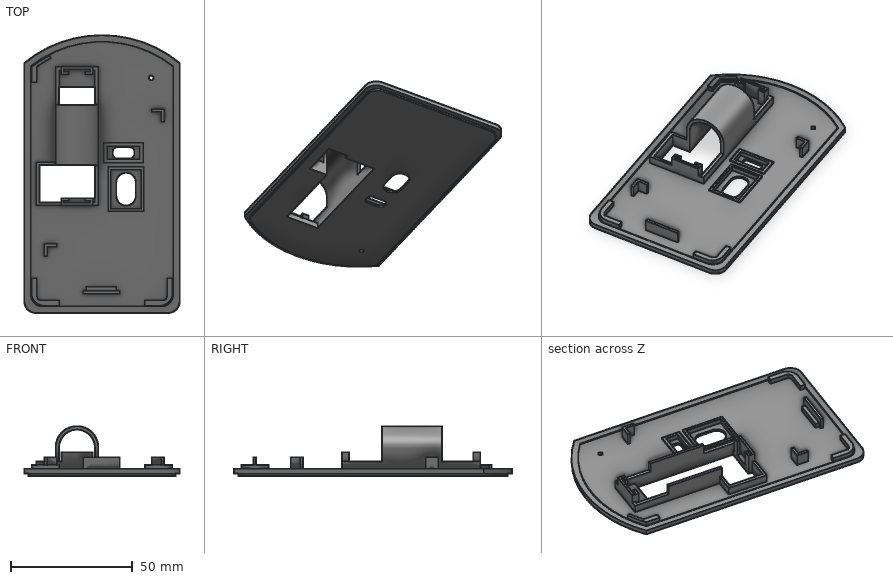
import cadquery as cq
import math

width = 63.9
length = 114.1
shoulder_y = 102.6
corner_radius = 5.0

lip_height = 1.0
rim_top = 3.1
floor_level = 2.6
pocket_level = 1.0
foot_top = 4.7
frame_top = 6.0
upright_top = 7.8
clip_top = 9.8
arch_top = 20.5

lip_inset = 1.7
lip_shoulder_radius = 2.3
recess_inset = 2.7
foot_inset = 3.1

arch_rise = length - shoulder_y
end_radius = ((width / 2) ** 2 + arch_rise**2) / (2 * arch_rise)
end_center_y = length - end_radius


def end_arc_point(x, inset):
    """Point at x on the arched end moved inwards by inset."""
    radius = end_radius - inset
    return (x, end_center_y + math.sqrt(radius**2 - x**2))


def block(x0, x1, y0, y1, z0, z1):
    """Axis-aligned block between two opposite corners."""
    return cq.Workplane("XY").box(x1 - x0, y1 - y0, z1 - z0, centered=False).translate((x0, y0, z0))


def plate_outline(inset, z0, z1, radius=corner_radius):
    """Plate-shaped slab whose outline is moved inwards by inset, with rounded lower corners."""
    half = width / 2 - inset
    return (
        cq.Workplane("XY", origin=(0, 0, z0))
        .moveTo(-half, inset)
        .lineTo(half, inset)
        .lineTo(*end_arc_point(half, inset))
        .threePointArc((0, length - inset), end_arc_point(-half, inset))
        .close()
        .extrude(z1 - z0)
        .edges("|Z")
        .edges("<Y")
        .fillet(radius)
    )


plate = plate_outline(lip_inset, 0, lip_height)
plate = plate.edges("|Z").edges(">Y").fillet(lip_shoulder_radius)
plate = plate.union(plate_outline(0, lip_height, rim_top))
plate = plate.cut(plate_outline(recess_inset, floor_level, rim_top))

wall = 1.5
thin_wall = 1.1
arch_radius = 8.8
arch_x = -10.3
arch_y0 = 60.7
arch_y1 = 85.5
frame_x0 = arch_x - arch_radius
frame_x1 = arch_x + arch_radius
frame_y0 = 44.3
frame_y1 = 101.1
bay_x0 = -27.0
bay_y1 = arch_y0 + thin_wall
opening_y1 = 92.8

clip_x0 = -16.7
clip_x1 = -3.9
clip_depth = 3.0
clip_wall = 1.0
clip_mouth = 6.8
ledge_y1 = frame_y0 + clip_depth


def frame_interior(z0, z1):
    """Space enclosed by the frame walls: a narrow bay and a wider lower bay."""
    narrow = block(frame_x0 + wall, frame_x1 - wall, frame_y0 + thin_wall, frame_y1 - wall, z0, z1)
    return narrow.union(block(bay_x0 + wall, frame_x1 - wall, frame_y0 + thin_wall, arch_y0, z0, z1))


def arch_prism(radius):
    """Solid round-topped prism along the bridge, rising from the floor."""
    spring_z = arch_top - arch_radius
    base = block(arch_x - radius, arch_x + radius, arch_y0, arch_y1, floor_level, spring_z)
    crown = (
        cq.Workplane("XZ", origin=(arch_x, arch_y1, spring_z))
        .circle(radius)
        .extrude(arch_y1 - arch_y0)
    )
    return base.union(crown)


def add_clip(part, y_back, direction):
    """Add a C-shaped spring clip with its back at y_back and its mouth facing direction."""
    mid_x = (clip_x0 + clip_x1) / 2
    clip_width = clip_x1 - clip_x0
    slot_depth = clip_depth - 2 * clip_wall

    def layer(size_x, size_y, distance):
        """Full-height block centred at the given distance in front of the clip's back."""
        y = y_back + direction * distance
        half_x = size_x / 2
        half_y = size_y / 2
        return block(mid_x - half_x, mid_x + half_x, y - half_y, y + half_y, floor_level, clip_top)

    part = part.union(layer(clip_width, clip_depth, clip_depth / 2))
    part = part.cut(layer(clip_width - 2 * clip_wall, slot_depth, clip_depth / 2))
    return part.cut(layer(clip_mouth, clip_wall, clip_depth - clip_wall / 2))


frame = block(frame_x0, frame_x1, frame_y0, frame_y1, floor_level, frame_top)
frame = frame.union(block(bay_x0, frame_x1, frame_y0, bay_y1, floor_level, frame_top))
frame = frame.union(arch_prism(arch_radius))
frame = frame.cut(arch_prism(arch_radius - wall))
frame = frame.cut(frame_interior(floor_level, frame_top))

opening = frame_interior(0, floor_level)
opening = opening.cut(block(frame_x0, frame_x1, opening_y1, frame_y1, 0, floor_level))
opening = opening.cut(block(clip_x0, frame_x1, frame_y0, ledge_y1, 0, floor_level))

body = plate.cut(opening).union(frame)
body = add_clip(body, frame_y0, 1)
body = add_clip(body, frame_y1, -1)


def add_slot_box(part, x0, x1, y0, y1, box_wall, slot_size, slot_corner):
    """Rim-high box around a pocket with a centred, round-cornered through slot."""
    slot_x, slot_y = slot_size
    part = part.union(block(x0, x1, y0, y1, floor_level, rim_top))
    part = part.cut(
        block(x0 + box_wall, x1 - box_wall, y0 + box_wall, y1 - box_wall, pocket_level, rim_top)
    )
    slot = (
        cq.Workplane("XY")
        .center((x0 + x1) / 2, (y0 + y1) / 2)
        .rect(slot_x, slot_y)
        .extrude(rim_top)
        .edges("|Z")
        .fillet(slot_corner)
    )
    return part.cut(slot)


body = add_slot_box(
    body, x0=0.8, x1=16.9, y0=61.7, y1=69.8, box_wall=1.4, slot_size=(8.7, 4.5), slot_corner=1.5
)
body = add_slot_box(
    body, x0=2.5, x1=17.2, y0=41.8, y1=60.0, box_wall=1.1, slot_size=(7.9, 13.4), slot_corner=3.8
)

pin_hole_diameter = 1.8
pin_hole_center = (20.2, 96.5)
body = body.cut(
    cq.Workplane("XY").center(*pin_hole_center).circle(pin_hole_diameter / 2).extrude(rim_top)
)

upright_size = 5.1
upright_wall = 1.1


def upright(x_corner, y_top, direction):
    """L-shaped upright with its corner at (x_corner, y_top) and one leg along direction in X."""
    leg_x = sorted((x_corner, x_corner + direction * upright_size))
    post_x = sorted((x_corner, x_corner + direction * upright_wall))
    leg = block(*leg_x, y_top - upright_wall, y_top, floor_level, upright_top)
    post = block(*post_x, y_top - upright_size, y_top, floor_level, upright_top)
    return leg.union(post)


body = body.union(upright(x_corner=-23.6, y_top=28.4, direction=1))
body = body.union(upright(x_corner=25.5, y_top=83.8, direction=-1))

board_x0 = -7.8
board_x1 = 7.3
board_y0 = 8.0
board_y1 = 9.1
rib_inset = 1.4
rib_depth = 1.7
body = body.union(block(board_x0, board_x1, board_y0, board_y1, floor_level, upright_top))
body = body.union(
    block(board_x0 + rib_inset, board_x1 - rib_inset, board_y1, board_y1 + rib_depth, floor_level, foot_top)
)

foot_width = 2.2
foot_inner_radius = 1.8
foot_end_x = 17.6
foot_end_y = 14.3
end_foot_width = 1.3
end_foot_y0 = 94.8
end_foot_outer_x = -21.6
end_foot_inner_x = -21.0

lower_band = plate_outline(foot_inset, floor_level, foot_top)
lower_band = lower_band.cut(
    plate_outline(foot_inset + foot_width, floor_level, foot_top, foot_inner_radius)
)
for x0, x1 in ((-width / 2, -foot_end_x), (foot_end_x, width / 2)):
    body = body.union(lower_band.intersect(block(x0, x1, 0, foot_end_y, floor_level, foot_top)))


def end_foot():
    """Foot in the upper left corner, bent from the side onto the arched end."""
    outer_x = foot_inset - width / 2
    inner_x = outer_x + foot_width
    inner_inset = foot_inset + end_foot_width
    outer_mid = end_arc_point((outer_x + end_foot_outer_x) / 2, foot_inset)
    inner_mid = end_arc_point((inner_x + end_foot_inner_x) / 2, inner_inset)
    return (
        cq.Workplane("XY", origin=(0, 0, floor_level))
        .moveTo(outer_x, end_foot_y0)
        .lineTo(*end_arc_point(outer_x, foot_inset))
        .threePointArc(outer_mid, end_arc_point(end_foot_outer_x, foot_inset))
        .lineTo(*end_arc_point(end_foot_inner_x, inner_inset))
        .threePointArc(inner_mid, end_arc_point(inner_x, inner_inset))
        .lineTo(inner_x, end_foot_y0)
        .close()
        .extrude(foot_top - floor_level)
    )


result = body.union(end_foot())